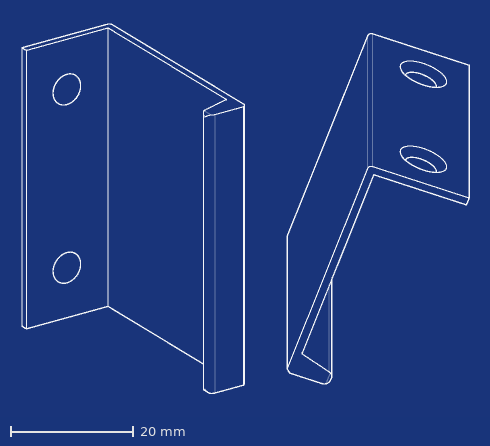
import cadquery as cq
import math

width = 40.0
depth = 17.5
height = 50.0
wall = 1.35

corner_radius = 0.6
corner_chamfer = 0.6

lip_depth = 7.5
lip_root_width = 4.0
lip_tip_radius = 1.25
lip_end_radius = 0.6

hole_front_offset = 8.0
hole_end_offset = 9.0
hole_diameter = 5.4
sink_diameter = hole_diameter + 2 * wall

inner_y = depth - wall
tip_x = width - lip_tip_radius
tip_y = depth - lip_depth
tip_center_y = tip_y + lip_tip_radius

root_x = width - lip_root_width
root_dx = root_x - tip_x
root_dy = inner_y - tip_center_y
root_angle = math.atan2(root_dy, root_dx)
tangent_angle = root_angle + math.acos(lip_tip_radius / math.hypot(root_dx, root_dy))
tangent_x = tip_x + lip_tip_radius * math.cos(tangent_angle)
tangent_y = tip_center_y + lip_tip_radius * math.sin(tangent_angle)


def make_body():
    """Extrude the L-shaped section with its lip along Z."""
    return (
        cq.Workplane("XY")
        .moveTo(0, 0)
        .lineTo(wall, 0)
        .lineTo(wall, inner_y)
        .lineTo(root_x, inner_y)
        .lineTo(tangent_x, tangent_y)
        .threePointArc((tip_x, tip_y), (width, tip_center_y))
        .lineTo(width, depth - corner_chamfer)
        .lineTo(width - corner_chamfer, depth)
        .lineTo(corner_radius, depth)
        .radiusArc((0, depth - corner_radius), -corner_radius)
        .close()
        .extrude(height)
    )


def make_lip_end_rounding(end_z, inward):
    """Waste outside a quarter round, along X, at one end of the lip tip."""
    return (
        cq.Workplane("YZ", origin=(root_x, 0, 0))
        .moveTo(tip_y, end_z)
        .lineTo(tip_y + lip_end_radius, end_z)
        .radiusArc((tip_y, end_z + inward * lip_end_radius), inward * lip_end_radius)
        .close()
        .extrude(lip_root_width)
    )


def make_hole_cut(z):
    """Cone that narrows from the outer face of the flange to its inner face."""
    return cq.Workplane(
        cq.Solid.makeCone(
            sink_diameter / 2,
            hole_diameter / 2,
            wall,
            pnt=cq.Vector(0, hole_front_offset, z),
            dir=cq.Vector(1, 0, 0),
        )
    )


result = make_body()
for end_z, inward in ((0, 1), (height, -1)):
    result = result.cut(make_lip_end_rounding(end_z, inward))
    result = result.cut(make_hole_cut(end_z + inward * hole_end_offset))